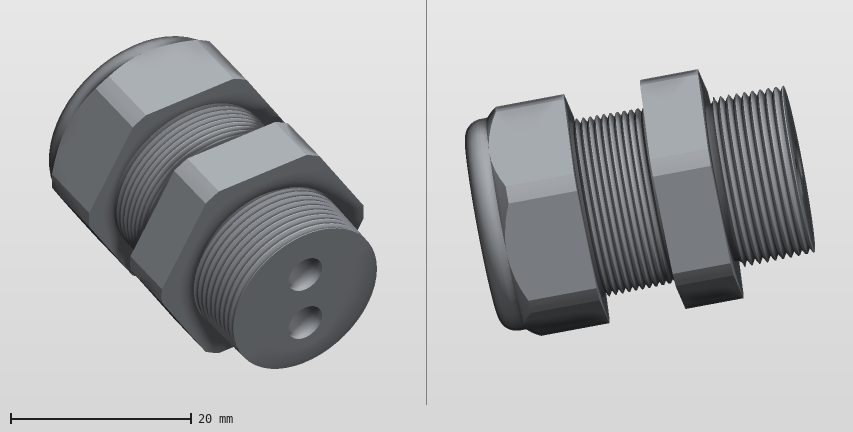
import cadquery as cq
import math


cap_hex_start = 2.8
cap_end = 11.8
nut_start = 20.4
nut_end = 26.95
total_length = 35.8

across_flats = 23.9
corner_radius = 13.25

collar_radius = across_flats / 2
collar_fillet = 2.0

groove_slope = math.tan(math.radians(60))

cap_thread_root = 9.42
cap_thread_first_root = 12.15
cap_thread_last_root = 19.75
cap_thread_grooves = 11
cap_thread_start_radius = 10.05
cap_thread_end_radius = 9.85

entry_thread_root = 8.85
entry_thread_first_root = 28.3
entry_thread_last_root = 35.38
entry_thread_grooves = 9
entry_thread_start_radius = 9.6
entry_thread_end_radius = 9.42

neck_radius = 8.77
neck_end = 27.07
neck_fillet = 0.85

insert_radius = 5.98
recess_radius = 5.75
recess_depth = 0.6
cable_hole_diameter = 4.4
cable_hole_offset = 3.55


def revolve_about_x(profile):
    return profile.close().revolve(360, (0, 0, 0), (1, 0, 0))


def cylinder(start, end, radius):
    return cq.Workplane("YZ", origin=(start, 0, 0)).circle(radius).extrude(end - start)


def hexagon(start, end):
    """Hexagonal prism with two flats facing up and down and turned-down corners."""
    across_corners = across_flats / math.cos(math.radians(30))
    prism = cq.Workplane("YZ", origin=(start, 0, 0)).polygon(6, across_corners).extrude(end - start)
    return prism.intersect(cylinder(start, end, corner_radius))


def collar():
    """Round entry end of the cap, with a filleted rim."""
    return cylinder(0, cap_hex_start, collar_radius).faces("<X").edges().fillet(collar_fillet)


def cap_hexagon():
    """Cap hexagon with its corners chamfered at 45 degrees towards the collar."""
    chamfer_end = cap_hex_start + corner_radius - collar_radius
    envelope = revolve_about_x(
        cq.Workplane("XY")
        .moveTo(cap_hex_start, 0)
        .lineTo(cap_hex_start, collar_radius)
        .lineTo(chamfer_end, corner_radius)
        .lineTo(cap_end, corner_radius)
        .lineTo(cap_end, 0)
    )
    return hexagon(cap_hex_start, cap_end).intersect(envelope)


def thread(start, end, start_radius, end_radius, root_radius, first_root, last_root, grooves):
    """Tapered blank from start to end, with V-grooves at a regular pitch."""
    blank = revolve_about_x(
        cq.Workplane("XY").polyline([(start, 0), (start, start_radius), (end, end_radius), (end, 0)])
    )
    pitch = (last_root - first_root) / (grooves - 1)
    half_width = pitch / 2
    crest_radius = root_radius + half_width * groove_slope
    outline = [(start, 0), (start, root_radius + (first_root - start) * groove_slope)]
    for index in range(grooves):
        root = first_root + index * pitch
        outline += [(root, root_radius), (root + half_width, crest_radius)]
    last_crest = outline[-1][0]
    if last_crest < end:
        outline.append((end, crest_radius))
    outline.append((outline[-1][0], 0))
    return blank.intersect(revolve_about_x(cq.Workplane("XY").polyline(outline)))


def cap_thread():
    return thread(
        cap_end, nut_start, cap_thread_start_radius, cap_thread_end_radius,
        cap_thread_root, cap_thread_first_root, cap_thread_last_root, cap_thread_grooves,
    )


def entry_thread():
    return thread(
        neck_end + neck_fillet, total_length, entry_thread_start_radius, entry_thread_end_radius,
        entry_thread_root, entry_thread_first_root, entry_thread_last_root, entry_thread_grooves,
    )


def neck():
    """Undercut that sweeps up to the entry thread in a quarter round."""
    thread_start = neck_end + neck_fillet
    turn = neck_fillet * math.sqrt(0.5)
    top = neck_radius + neck_fillet
    return revolve_about_x(
        cq.Workplane("XY")
        .moveTo(nut_end, 0)
        .lineTo(nut_end, neck_radius)
        .lineTo(neck_end, neck_radius)
        .threePointArc((neck_end + turn, top - turn), (thread_start, top))
        .lineTo(thread_start, 0)
    )


def make_gland():
    """Housing with a through bore for the insert."""
    gland = collar()
    for section in (cap_hexagon(), cap_thread(), hexagon(nut_start, nut_end), neck(), entry_thread()):
        gland = gland.union(section)
    return gland.cut(cylinder(0, total_length, insert_radius))


def make_insert():
    """Plug that fills the bore, with a shallow front recess and two cable holes."""
    insert = cylinder(0, total_length, insert_radius).cut(cylinder(0, recess_depth, recess_radius))
    holes = (
        cq.Workplane("YZ")
        .pushPoints([(0, -cable_hole_offset), (0, cable_hole_offset)])
        .circle(cable_hole_diameter / 2)
        .extrude(total_length)
    )
    return insert.cut(holes)


gland = make_gland()
insert = make_insert()
result = cq.Compound.makeCompound([gland.solids().val(), insert.solids().val()])